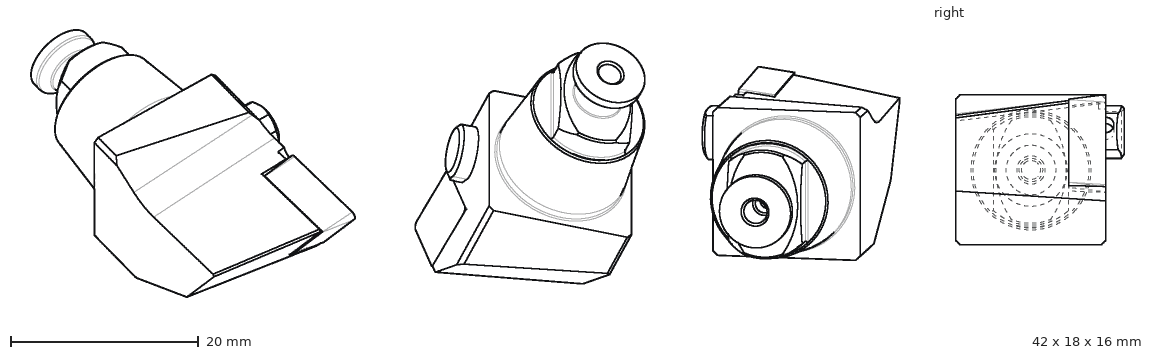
import cadquery as cq
import math


WIDTH = 16.0
HALF_WIDTH = WIDTH / 2
EDGE_CHAMFER = 0.5
CLEARANCE_ANGLE = 7.0

NOSE_REACH = 25.05
NOSE_TOP = HALF_WIDTH
INSERT_SIDE = 11.6
INSERT_THICKNESS = 3.95
INSERT_CORNER_ANGLE = 55.0
INSERT_CORNER_RADIUS = 0.5
TOP_EDGE_ANGLE = 3.0
FRONT_ANGLE = TOP_EDGE_ANGLE + INSERT_CORNER_ANGLE

POCKET_WALL_ANGLE = 2.0
RELIEF_RADIUS = 0.92
RELIEF_DEPTH = 0.85
RELIEF_OFFSET = 0.65

FRONT_SETBACK = 0.15
UNDERSIDE_ANGLE = 30.0
UNDERSIDE_CLEARANCE_ANGLE = 6.2
UNDERSIDE_START_X = 10.1

NOSE_CHAMFER = 0.35
NOSE_EDGE_X = 23.53
NOSE_EDGE_Z = 6.9

RAMP_FOOT_X = 8.7
RAMP_FOOT_Z = 5.13
RAMP_ANGLE = 27.0
RAMP_FILLET = 6.97
FLOOR_TILT = 6.8

STUD_END_X = -16.97
STUD_HEAD_RADIUS = 3.85
STUD_HEAD_LENGTH = 1.15
STUD_HEAD_ROUND = 0.35
NECK_CONE_LENGTH = 0.95
NECK_RADIUS = 2.65
NECK_ROUND = 0.3
NECK_ROOT_FILLET = 0.13
COLLAR_START_X = -12.5
COLLAR_RADIUS = 5.9
COLLAR_CHAMFER = 0.2
COLLAR_ROOT_FILLET = 0.2
FLAT_WIDTH = 8.0
FLAT_FACE_WIDTH = 7.48
FLAT_CONE_RADIUS = 9.25
TAPER_START_X = -9.5
TAPER_START_RADIUS = 6.4
TAPER_CHAMFER = 0.2
BAND_LENGTH = 1.05
BAND_RADIUS = 7.23
BAND_ROOT_FILLET = 0.15

BORE_RADIUS = 1.25
BORE_MOUTH_RADIUS = 1.5
BORE_DEPTH = 5.05
PILOT_RADIUS = 1.0
PILOT_DEPTH = 7.55
BORE_TIP_ANGLE = 118.0

NOZZLE_X = 6.43
NOZZLE_Z = 4.07
NOZZLE_RADIUS = 2.9
NOZZLE_HEIGHT = 1.97
NOZZLE_TOP_RADIUS = 2.4
NOZZLE_CHAMFER_ANGLE = 36.0
FACET_START_ANGLE = 131.5
FACET_END_ANGLE = 71.5
LOBE_REACH = 3.53
LOBE_CORNER_X = 2.7
LOBE_CORNER_Z = 1.95
OUTLET_RADIUS = 0.85

X_AXIS = cq.Vector(1, 0, 0)


def along(point, length, angle):
    """Point at a length from another one, at an angle from +X in the XZ plane."""
    turn = math.radians(angle)
    return (point[0] + length * math.cos(turn), point[1] + length * math.sin(turn))


def crossing(p, p_angle, q, q_angle):
    """Point where a line through p and a line through q meet in the XZ plane."""
    p_turn, q_turn = math.radians(p_angle), math.radians(q_angle)
    dx, dz = q[0] - p[0], q[1] - p[1]
    length = (dx * math.sin(q_turn) - dz * math.cos(q_turn)) / math.sin(q_turn - p_turn)
    return along(p, length, p_angle)


def sketch_from(y):
    """XZ workplane at the given y, from which extrusions run toward -Y."""
    return cq.Workplane("XZ", origin=(0, y, 0))


def nearest_edge(x, y=0, z=0):
    return cq.selectors.NearestToPointSelector((x, y, z))


def revolve_about_x(profile):
    return cq.Workplane("XZ").polyline(profile).close().revolve(360, (0, 0, 0), (1, 0, 0))


NOSE_CENTER = (NOSE_REACH - INSERT_CORNER_RADIUS, NOSE_TOP - INSERT_CORNER_RADIUS)
TIP = along(
    NOSE_CENTER,
    INSERT_CORNER_RADIUS / math.sin(math.radians(INSERT_CORNER_ANGLE / 2)),
    (TOP_EDGE_ANGLE + FRONT_ANGLE) / 2,
)
BACK_CORNER = along(TIP, -INSERT_SIDE, TOP_EDGE_ANGLE)


def insert_outline():
    front_corner = along(TIP, -INSERT_SIDE, FRONT_ANGLE)
    inner_corner = along(BACK_CORNER, -INSERT_SIDE, FRONT_ANGLE)
    return [TIP, BACK_CORNER, inner_corner, front_corner]


def make_insert():
    """Rhombic plate, flush with the +Y side, that narrows inward so its corner rounds run out."""
    outline = insert_outline()
    rhombus = cq.Sketch().polygon([*outline, outline[0]]).vertices().fillet(INSERT_CORNER_RADIUS)
    return sketch_from(HALF_WIDTH).placeSketch(rhombus).extrude(INSERT_THICKNESS, taper=CLEARANCE_ANGLE)


def insert_pocket():
    """Sharp-cornered seat whose walls lean less than the insert, leaving a gap that widens inward."""
    pocket = sketch_from(HALF_WIDTH).polyline(insert_outline()).close()
    return pocket.extrude(INSERT_THICKNESS, taper=POCKET_WALL_ANGLE)


def lower_envelope():
    """Prism bounding the front and the underside of the block, each leaning in by its own angle."""
    beyond = 3 * WIDTH
    front_point = (TIP[0] - FRONT_SETBACK, TIP[1])
    underside_start = (UNDERSIDE_START_X, -HALF_WIDTH)
    sides = (
        (front_point, FRONT_ANGLE, CLEARANCE_ANGLE),
        (underside_start, UNDERSIDE_ANGLE, UNDERSIDE_CLEARANCE_ANGLE),
    )
    envelope = cq.Workplane("XY").box(2 * beyond, 2 * beyond, 2 * beyond)
    for point, angle, lean in sides:
        outline = [along(point, beyond, angle), along(point, -beyond, angle), (-beyond, beyond)]
        prism = sketch_from(HALF_WIDTH).polyline(outline).close().extrude(WIDTH, taper=lean)
        envelope = envelope.intersect(prism)
    return envelope


def floor_cutter():
    """Everything above the ramp, its fillet and the chip floor, tilted down toward -Y."""
    beyond = 2 * WIDTH
    foot = (RAMP_FOOT_X, RAMP_FOOT_Z)
    outline = [
        along(foot, WIDTH, 180 - RAMP_ANGLE),
        foot,
        along(foot, beyond, TOP_EDGE_ANGLE),
        (beyond, beyond),
        (0, beyond),
    ]
    cutter = sketch_from(beyond).polyline(outline).close().extrude(2 * beyond)
    cutter = cutter.edges(nearest_edge(RAMP_FOOT_X, 0, RAMP_FOOT_Z)).fillet(RAMP_FILLET)
    pivot = (0, -HALF_WIDTH, RAMP_FOOT_Z)
    return cutter.rotate(pivot, (1, -HALF_WIDTH, RAMP_FOOT_Z), FLOOR_TILT)


def corner_relief():
    center_x, center_z = along(BACK_CORNER, -RELIEF_OFFSET, TOP_EDGE_ANGLE)
    return sketch_from(HALF_WIDTH).center(center_x, center_z).circle(RELIEF_RADIUS).extrude(RELIEF_DEPTH)


def make_block():
    block = cq.Workplane("XY").box(TIP[0], WIDTH, WIDTH, centered=(False, True, True))
    block = block.edges("|X").chamfer(EDGE_CHAMFER)
    block = block.intersect(lower_envelope()).cut(floor_cutter())
    block = block.edges(nearest_edge(NOSE_EDGE_X, 0, NOSE_EDGE_Z)).chamfer(NOSE_CHAMFER)
    return block.cut(insert_pocket()).cut(corner_relief())


def make_stud():
    head_end_x = STUD_END_X + STUD_HEAD_LENGTH
    neck_start_x = head_end_x + NECK_CONE_LENGTH
    stud = revolve_about_x(
        [
            (STUD_END_X, 0),
            (STUD_END_X, STUD_HEAD_RADIUS),
            (head_end_x, STUD_HEAD_RADIUS),
            (neck_start_x, NECK_RADIUS),
            (COLLAR_START_X, NECK_RADIUS),
            (COLLAR_START_X, 0),
        ]
    )
    stud = stud.edges(nearest_edge(head_end_x)).fillet(STUD_HEAD_ROUND)
    return stud.edges(nearest_edge(neck_start_x)).fillet(NECK_ROUND)


def make_collar():
    """Chamfered disc with a flat on each Y side and a conical cut at the start of each flat."""
    length = TAPER_START_X - COLLAR_START_X
    collar = cq.Workplane("YZ", origin=(COLLAR_START_X, 0, 0)).circle(COLLAR_RADIUS).extrude(length)
    collar = collar.faces("<X").chamfer(COLLAR_CHAMFER)
    collar = collar.intersect(cq.Workplane("XY").box(2 * WIDTH, FLAT_WIDTH, WIDTH))
    cone_offset = FLAT_CONE_RADIUS - FLAT_FACE_WIDTH / 2
    for cone_y in (-cone_offset, cone_offset):
        cone_base = cq.Vector(COLLAR_START_X, cone_y, 0)
        cone = cq.Solid.makeCone(FLAT_CONE_RADIUS, FLAT_CONE_RADIUS + length, length, cone_base, X_AXIS)
        collar = collar.intersect(cq.Workplane(cone))
    return collar


def make_taper():
    return revolve_about_x(
        [
            (TAPER_START_X, 0),
            (TAPER_START_X, TAPER_START_RADIUS - TAPER_CHAMFER),
            (TAPER_START_X + TAPER_CHAMFER, TAPER_START_RADIUS),
            (-BAND_LENGTH, BAND_RADIUS),
            (0, BAND_RADIUS),
            (0, 0),
        ]
    )


def stud_bore():
    """Chamfered blind bore that narrows over a conical shoulder to a pilot hole with a conical end."""
    mouth_depth = BORE_MOUTH_RADIUS - BORE_RADIUS
    cone_slope = math.tan(math.radians(BORE_TIP_ANGLE / 2))
    bore_end_x = STUD_END_X + BORE_DEPTH
    pilot_end_x = STUD_END_X + PILOT_DEPTH
    return revolve_about_x(
        [
            (STUD_END_X, 0),
            (STUD_END_X, BORE_MOUTH_RADIUS),
            (STUD_END_X + mouth_depth, BORE_RADIUS),
            (bore_end_x, BORE_RADIUS),
            (bore_end_x + (BORE_RADIUS - PILOT_RADIUS) / cone_slope, PILOT_RADIUS),
            (pilot_end_x, PILOT_RADIUS),
            (pilot_end_x + PILOT_RADIUS / cone_slope, 0),
        ]
    )


def is_collar_root(edge):
    """True for the edges where the collar meets the end face of the taper."""
    box = edge.BoundingBox()
    reach = TAPER_CHAMFER / 2
    on_end_face = box.xmin > TAPER_START_X - reach and box.xmax < TAPER_START_X + reach
    return on_end_face and box.ylen < FLAT_WIDTH + reach


def make_head():
    shank = make_taper().union(make_collar())
    shank = shank.edges().filter(is_collar_root).fillet(COLLAR_ROOT_FILLET)
    shank = shank.union(make_stud())
    shank = shank.edges(nearest_edge(COLLAR_START_X)).fillet(NECK_ROOT_FILLET)
    head = make_block().union(shank)
    head = head.edges(nearest_edge(0)).fillet(BAND_ROOT_FILLET)
    return head.cut(stud_bore())


def coolant_outlet():
    """Channel along the base of the nozzle, from its axis toward the cutting nose."""
    start = cq.Vector(NOZZLE_X, HALF_WIDTH, NOZZLE_Z)
    aim = cq.Vector(NOSE_REACH - NOZZLE_X, 0, NOSE_TOP - NOZZLE_Z)
    return cq.Workplane(cq.Solid.makeCylinder(OUTLET_RADIUS, 2 * LOBE_REACH, start, aim))


def make_nozzle():
    axis_point = (0, 0)
    facet_start = along(axis_point, NOZZLE_RADIUS, FACET_START_ANGLE)
    facet_end = along(axis_point, NOZZLE_RADIUS, FACET_END_ANGLE)
    lower_end = along(axis_point, NOZZLE_RADIUS, -FACET_END_ANGLE)
    disc = (
        cq.Workplane("XZ", origin=(NOZZLE_X, HALF_WIDTH, NOZZLE_Z))
        .moveTo(*facet_start)
        .lineTo(*facet_end)
        .lineTo(LOBE_CORNER_X, LOBE_CORNER_Z)
        .threePointArc((LOBE_REACH, 0), (LOBE_CORNER_X, -LOBE_CORNER_Z))
        .lineTo(*lower_end)
        .threePointArc((-NOZZLE_RADIUS, 0), facet_start)
        .close()
        .extrude(-NOZZLE_HEIGHT)
    )
    base_radius = NOZZLE_TOP_RADIUS + NOZZLE_HEIGHT / math.tan(math.radians(NOZZLE_CHAMFER_ANGLE))
    base_center = cq.Vector(NOZZLE_X, HALF_WIDTH, NOZZLE_Z)
    outward = cq.Vector(0, 1, 0)
    cone = cq.Solid.makeCone(base_radius, NOZZLE_TOP_RADIUS, NOZZLE_HEIGHT, base_center, outward)
    return disc.intersect(cq.Workplane(cone)).cut(coolant_outlet())


insert = make_insert()
head = make_head()
nozzle = make_nozzle()

bodies = (head, insert, nozzle)
result = cq.Compound.makeCompound([body.solids().val() for body in bodies])